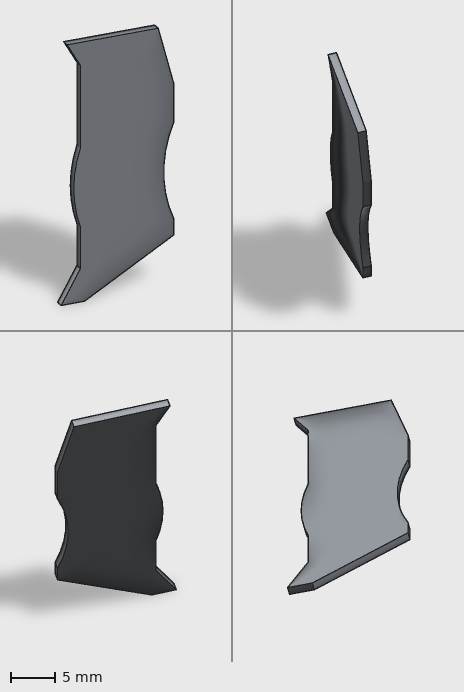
import cadquery as cq
import math

thickness = 1.0
height = 32.25
body_width = 11.64

lip_angle = 30.0
bottom_lip_reach = 2.4
top_lip_reach = 1.65
bottom_edge_length = 2.9

back_top_setback = 1.95
back_top_angle = 15.0
back_bottom_height = 6.22

wave_radius = 15.0
wave_center_z = 14.23
bulge_half_chord = 4.9
hollow_half_chord = 6.02


def arc_depth(half_chord):
    """Distance from the chord to the crown of a wave arc."""
    return wave_radius - math.sqrt(wave_radius**2 - half_chord**2)


def slope_height(reach, angle_from_vertical):
    """Height covered by a slanted edge that moves sideways by reach."""
    return reach / math.tan(math.radians(angle_from_vertical))


def make_plate():
    """Extrude the closed outline in the YZ plane along +X."""
    bottom_lip_top = slope_height(bottom_lip_reach, lip_angle)
    top_lip_bottom = height - slope_height(top_lip_reach, lip_angle)
    back_slope_bottom = height - slope_height(back_top_setback, back_top_angle)
    bulge_crown_y = -arc_depth(bulge_half_chord)
    hollow_crown_y = body_width - arc_depth(hollow_half_chord)

    outline = (
        cq.Workplane("YZ")
        .moveTo(-bottom_lip_reach, 0)
        .lineTo(0, bottom_lip_top)
        .lineTo(0, wave_center_z - bulge_half_chord)
        .threePointArc((bulge_crown_y, wave_center_z), (0, wave_center_z + bulge_half_chord))
        .lineTo(0, top_lip_bottom)
        .lineTo(-top_lip_reach, height)
        .lineTo(body_width - back_top_setback, height)
        .lineTo(body_width, back_slope_bottom)
        .lineTo(body_width, wave_center_z + hollow_half_chord)
        .threePointArc(
            (hollow_crown_y, wave_center_z),
            (body_width, wave_center_z - hollow_half_chord),
        )
        .lineTo(body_width, back_bottom_height)
        .lineTo(bottom_edge_length - bottom_lip_reach, 0)
        .close()
    )
    return outline.extrude(thickness)


result = make_plate()